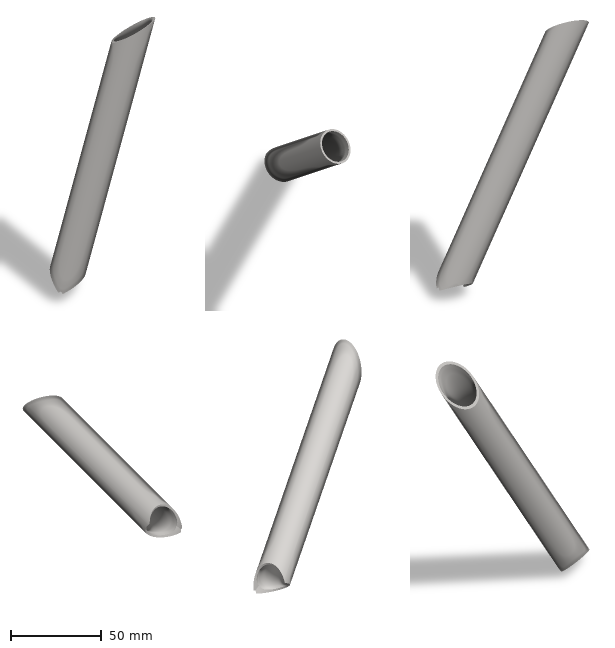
import cadquery as cq

outer_radius = 10.0
wall = 1.2
upper_joint = cq.Vector(17.0, 65.7, 156.3)
end_allowance = 4 * outer_radius

tube_direction = upper_joint.normalized()
cross_direction = cq.Vector(1, 0, 0)
bent_direction = cq.Vector(1, 0.2, -0.2).normalized()


def leaning_tube():
    """Straight hollow tube along the leaning axis, overlong at both ends."""
    start = tube_direction * -end_allowance
    length = upper_joint.Length + 2 * end_allowance
    section = cq.Workplane(cq.Plane(origin=start, normal=tube_direction))
    return section.circle(outer_radius).circle(outer_radius - wall).extrude(length)


def below_upper_miter():
    """Block below the plane that bisects the corner with the upper crossing tube."""
    miter_normal = tube_direction - cross_direction
    block_width = 10 * outer_radius
    block_depth = 2 * upper_joint.Length
    miter_plane = cq.Plane(origin=upper_joint, normal=miter_normal)
    return cq.Workplane(miter_plane).rect(2 * block_depth, block_width).extrude(-block_depth)


def lower_crossing_leg(direction, bend_normal):
    """Solid cylinder from the origin along direction, mitered at the bend plane."""
    reach = 4 * outer_radius
    start = direction * -reach
    leg = cq.Workplane(cq.Plane(origin=start, normal=direction)).circle(outer_radius).extrude(2 * reach)
    kept_side = cq.Workplane(cq.Plane(origin=(0, 0, 0), normal=bend_normal))
    return leg.intersect(kept_side.rect(4 * reach, 4 * reach).extrude(2 * reach))


def lower_saddle():
    """Bent lower crossing tube as a solid, which shapes the saddle end."""
    bend_normal = cross_direction + bent_direction
    straight_leg = lower_crossing_leg(-cross_direction, -bend_normal)
    bent_leg = lower_crossing_leg(bent_direction, bend_normal)
    return straight_leg.union(bent_leg)


trimmed_tube = leaning_tube().intersect(below_upper_miter()).cut(lower_saddle())

result = trimmed_tube.solids(">Z")